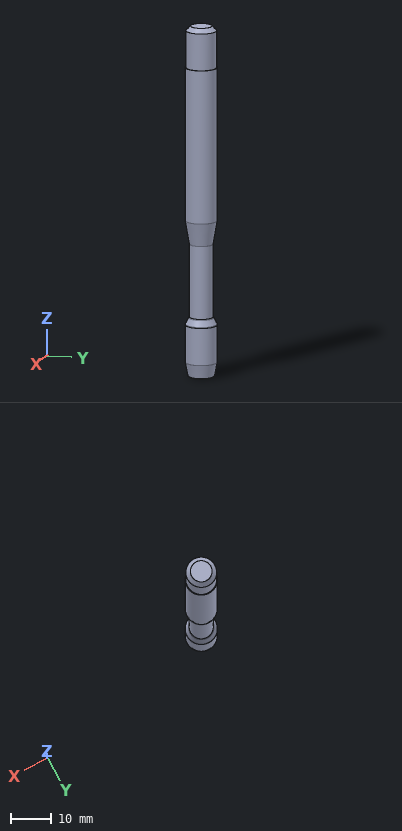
import cadquery as cq

total_length = 90.1
shank_diameter = 8.1
head_diameter = 7.75
neck_diameter = 6.0

top_chamfer_height = 1.2
top_face_diameter = 5.4
head_bottom_z = 79.5

taper_top_z = 40.1
taper_bottom_z = 34.1

shoulder_top_z = 15.3
shoulder_bevel_height = 0.225
cone_top_diameter = 6.4
cone_bottom_diameter = 8.0

tip_length = 13.2
tip_diameter = shank_diameter
lead_length = 3.7
lead_diameter = 6.8
end_bevel_height = 0.2
end_face_diameter = 6.5


def revolve_profile(steps):
    """Turn (diameter, z) steps, listed from bottom to top, into a solid about Z."""
    bottom_z = steps[0][1]
    top_z = steps[-1][1]
    outline = [(0, bottom_z)]
    outline += [(diameter / 2, z) for diameter, z in steps]
    outline.append((0, top_z))
    return cq.Workplane("XZ").polyline(outline).close().revolve(360, (0, 0, 0), (0, 1, 0))


def make_shank():
    """Conical shoulder, neck, taper, cylindrical shank and chamfered drive end."""
    return revolve_profile([
        (tip_diameter, tip_length),
        (cone_bottom_diameter, tip_length + shoulder_bevel_height),
        (cone_top_diameter, shoulder_top_z - shoulder_bevel_height),
        (neck_diameter, shoulder_top_z),
        (neck_diameter, taper_bottom_z),
        (shank_diameter, taper_top_z),
        (shank_diameter, head_bottom_z),
        (head_diameter, head_bottom_z),
        (head_diameter, total_length - top_chamfer_height),
        (top_face_diameter, total_length),
    ])


def make_tip():
    """Working end: bevelled end face, conical lead and cylinder up to the shank."""
    return revolve_profile([
        (end_face_diameter, 0),
        (lead_diameter, end_bevel_height),
        (tip_diameter, lead_length),
        (tip_diameter, tip_length),
    ])


shank = make_shank()
tip = make_tip()

result = cq.Compound.makeCompound([shank.val(), tip.val()])